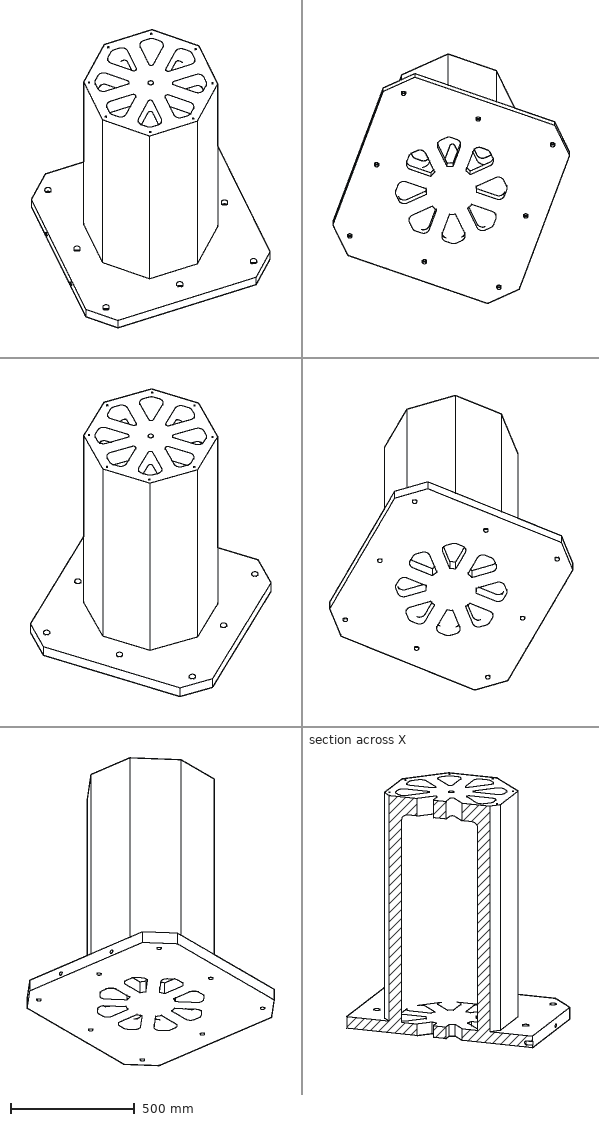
import cadquery as cq
import math

BASE_SIZE = 800.0
BASE_THICKNESS = 50.0
BASE_CORNER_CUT = 100.0

TOTAL_HEIGHT = 1000.0
SIDES = 8
SECTOR_ANGLE = 360.0 / SIDES
COLUMN_WIDTH = 500.0
WALL_THICKNESS = 40.0
ROOF_THICKNESS = 75.0
CAVITY_CORNER_RADIUS = 25.0
CAVITY_ROOF_RADIUS = 20.0

SPOKE_WIDTH = 55.0
WINDOW_CORNER_RADIUS = 25.0
WINDOW_TIP_RADIUS = 10.0
FLOOR_HUB_DIAMETER = 203.0

ANCHOR_PITCH = 320.0
ANCHOR_DIAMETER = 18.0
ANCHOR_BORE_DIAMETER = 26.0
ANCHOR_BORE_DEPTH = 25.0

DRILL_POINT_ANGLE = 118.0
CENTER_HOLE_DIAMETER = 21.0
CENTER_HOLE_DEPTH = 50.0
RIM_HOLE_DIAMETER = 5.0
RIM_HOLE_DEPTH = 15.0
RIM_HOLE_INSET = 18.5
RIM_HOLE_OFFSET = 93.0
SIDE_HOLE_DIAMETER = 14.0
SIDE_HOLE_DEPTH = 30.0
SIDE_HOLE_OFFSET = 135.0
SIDE_HOLE_HEIGHT = 19.0

HALF_SECTOR = math.radians(SECTOR_ANGLE / 2)
CAVITY_WIDTH = COLUMN_WIDTH - 2 * WALL_THICKNESS
ROOF_BOTTOM = TOTAL_HEIGHT - ROOF_THICKNESS


def octagon_prism(width, bottom, top):
    """Upright regular octagon, measured across its flats."""
    prism = cq.Workplane("XY").workplane(offset=bottom)
    prism = prism.polygon(SIDES, width / math.cos(HALF_SECTOR)).extrude(top - bottom)
    return prism.rotate((0, 0, 0), (0, 0, 1), SECTOR_ANGLE / 2)


def make_base():
    base = cq.Workplane("XY").rect(BASE_SIZE, BASE_SIZE).extrude(BASE_THICKNESS)
    return base.edges("|Z").chamfer(BASE_CORNER_CUT)


def make_cavity():
    cavity = octagon_prism(CAVITY_WIDTH, BASE_THICKNESS, ROOF_BOTTOM)
    cavity = cavity.edges("|Z").fillet(CAVITY_CORNER_RADIUS)
    return cavity.faces(">Z").edges().fillet(CAVITY_ROOF_RADIUS)


def make_window(bottom, top):
    """Prism between two neighbouring spokes, bounded outside by the cavity octagon."""
    half_spoke = SPOKE_WIDTH / 2
    reach = CAVITY_WIDTH / 2
    tip = (half_spoke / math.tan(HALF_SECTOR), half_spoke)
    first_corner = (reach, half_spoke)
    middle_corner = (reach, reach * math.tan(HALF_SECTOR))
    diagonal = math.sqrt(0.5)
    last_corner = ((reach + half_spoke) * diagonal, (reach - half_spoke) * diagonal)
    outline = [tip, first_corner, middle_corner, last_corner]
    window = cq.Workplane("XY").workplane(offset=bottom).polyline(outline).close().extrude(top - bottom)
    window = window.edges("|Z").edges("<X").fillet(WINDOW_TIP_RADIUS)
    for corner in outline[1:]:
        nearest = cq.selectors.NearestToPointSelector((*corner, (bottom + top) / 2))
        window = window.edges("|Z").edges(nearest).fillet(WINDOW_CORNER_RADIUS)
    return window


def cut_windows(body):
    roof_window = make_window(ROOF_BOTTOM - CAVITY_ROOF_RADIUS, TOTAL_HEIGHT)
    floor_hub = cq.Workplane("XY").circle(FLOOR_HUB_DIAMETER / 2).extrude(BASE_THICKNESS)
    floor_window = make_window(0, BASE_THICKNESS).cut(floor_hub)
    for index in range(SIDES):
        for window in (roof_window, floor_window):
            body = body.cut(window.rotate((0, 0, 0), (0, 0, 1), index * SECTOR_ANGLE))
    return body


def cut_anchor_holes(body):
    steps = (-ANCHOR_PITCH, 0, ANCHOR_PITCH)
    centers = [(x, y) for x in steps for y in steps if (x, y) != (0, 0)]
    holes = cq.Workplane("XY").pushPoints(centers).circle(ANCHOR_DIAMETER / 2).extrude(BASE_THICKNESS)
    bores = cq.Workplane("XY").workplane(offset=BASE_THICKNESS).pushPoints(centers)
    bores = bores.circle(ANCHOR_BORE_DIAMETER / 2).extrude(-ANCHOR_BORE_DEPTH)
    return body.cut(holes).cut(bores)


def drill(diameter, depth):
    """Drilled hole going down from the origin, with its conical point below the full depth."""
    radius = diameter / 2
    point = radius / math.tan(math.radians(DRILL_POINT_ANGLE / 2))
    profile = [(0, 0), (radius, 0), (radius, -depth), (0, -depth - point)]
    return cq.Workplane("XZ").polyline(profile).close().revolve(360, (0, 0, 0), (0, 1, 0))


def cut_top_holes(body):
    center_drill = drill(CENTER_HOLE_DIAMETER, CENTER_HOLE_DEPTH)
    body = body.cut(center_drill.translate((0, 0, TOTAL_HEIGHT)))
    rim_drill = drill(RIM_HOLE_DIAMETER, RIM_HOLE_DEPTH)
    rim_reach = COLUMN_WIDTH / 2 - RIM_HOLE_INSET
    for offset in (-RIM_HOLE_OFFSET, RIM_HOLE_OFFSET):
        for reach in (-rim_reach, rim_reach):
            for x, y in ((offset, reach), (reach, offset)):
                body = body.cut(rim_drill.translate((x, y, TOTAL_HEIGHT)))
    return body


def cut_side_holes(body):
    """Two holes into the -Y edge of the base."""
    side_drill = drill(SIDE_HOLE_DIAMETER, SIDE_HOLE_DEPTH).rotate((0, 0, 0), (1, 0, 0), 90)
    for x in (-SIDE_HOLE_OFFSET, SIDE_HOLE_OFFSET):
        body = body.cut(side_drill.translate((x, -BASE_SIZE / 2, SIDE_HOLE_HEIGHT)))
    return body


column = octagon_prism(COLUMN_WIDTH, BASE_THICKNESS, TOTAL_HEIGHT)
result = make_base().union(column).cut(make_cavity())
result = cut_windows(result)
result = cut_anchor_holes(result)
result = cut_top_holes(result)
result = cut_side_holes(result)